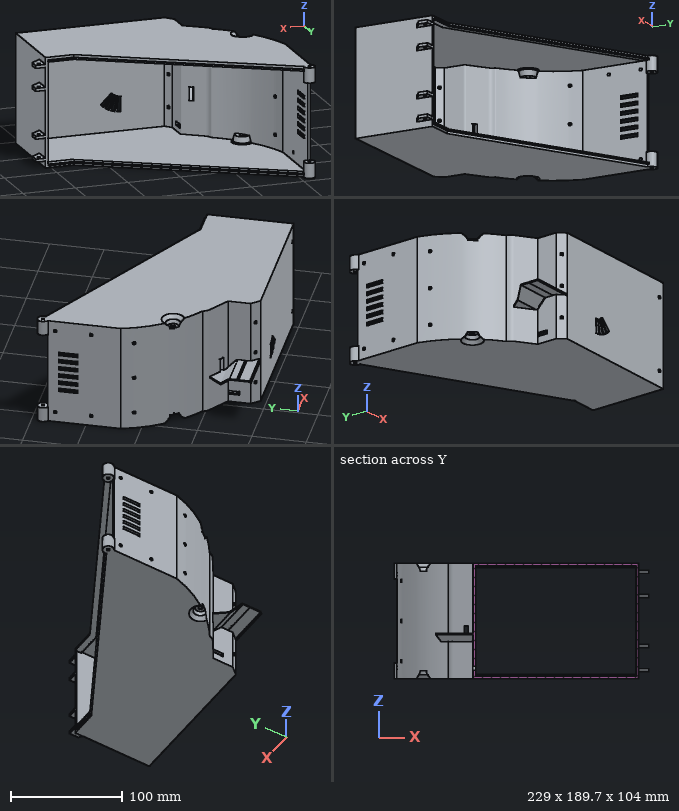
import cadquery as cq
import math

HEIGHT = 104.0
WALL = 2.5
MID_Z = HEIGHT / 2
WIDTH = 217.1
RIGHT_DEPTH = 79.6
BACK_CORNER_X = 190.3
BACK_SLOPE = 29.5

CURVE_START = (0.0, 112.5)
CURVE_MID = (17.7, 75.3)
CURVE_END = (46.0, 47.2)
ROLL_MID = (47.3, 44.1)
ROLL_END = (49.7, 41.5)
NICHE_X = 68.3
NICHE_Y = 28.5
CORNER_CHAMFER = 7.8
CORNER_X = NICHE_X + 6.7

KNUCKLE_RADIUS = 5.2
KNUCKLE_CENTRE = (2.6, 184.46)
KNUCKLE_LENGTH = 14.4
KNUCKLE_FOOT = ((0.0, 178.9), (-1.5, 181.3))
KNUCKLE_GAP_Y = 179.8
PIVOT_HOLE = 2.6
TAB_REACH = 9.28
TAB_THICKNESS = 2.8
TAB_BOTTOMS = (6.5, 28.1)
TAB_EDGE = 9.4
TAB_NOSE = (6.4, 11.3)
TAB_ROOT = 16.3
TAB_HOLE_INSET = 4.8

LIP_REACH = 1.7
LIP_THICKNESS = 1.5
LIP_ROOT = 5.0
LIP_START_X = 7.0

RECESS_CENTRE = (26.0, 70.0)
RECESS_PROFILE = ((10.4, 0.0), (6.7, 3.6), (5.1, 7.2))
RECESS_WALL = 2.0
RECESS_HOLE = 4.4
RECESS_HOLE_DEPTH = 1.2

SCREW_HOLE = 2.7
FRONT_SCREW_X = 211.5
FRONT_SCREW_OFFSET = 36.0
CORNER_SCREW_PITCH = 31.0
CURVE_SCREW_Y = 101.0
CURVE_SCREW_PITCH = 36.0
LEFT_SCREW_YS = (139.7, 172.7)
LEFT_SCREW_OFFSET = 42.0
BLIND_DEPTH = 2.0
THROUGH_DEPTH = 2 * WALL

VENT_COUNT = 6
VENT_PITCH = 7.44
VENT_HEIGHT = 3.0
VENT_YS = (152.1, 169.7)

FAN_COUNT = 4
FAN_PIVOT = (118.3, 45.7)
FAN_RADII = (10.8, 25.0)
FAN_WIDTHS = (2.4, 3.6)
FAN_FIRST_ANGLE = 2.6
FAN_STEP = 13.6

SHELF_X = 32.9
SHELF_SIDE_Y = 20.8
SHELF_RIGHT_X = 74.2
SHELF_TOP = 44.4
SHELF_DROP = 9.8
SHELF_RUN = 9.2
SHELF_THICKNESS = 1.1
SHELF_LOW_Y = 29.6
SHELF_BACK_Y = 42.0
SHELF_BEVEL = 1.0
SHELF_BEVEL_HEIGHT = 2.4
LOW_BEND_RADIUS = 2.2
HIGH_BEND_RADIUS = 3.1
GROOVE_YS = (11.2, 13.0)
GROOVE_DEPTH = 0.5
TALL_SLOT_XS = (60.5, 64.0)
TALL_SLOT_START_Y = 31.0
TALL_SLOT_TOP = 47.5
LOW_SLOT_START_Y = 18.2
LOW_SLOT_ZS = (7.8, 11.2)


def box(xs, ys, zs):
    """Axis-aligned box between pairs of coordinates."""
    return (
        cq.Workplane("XY", origin=(xs[0], ys[0], zs[0]))
        .box(xs[1] - xs[0], ys[1] - ys[0], zs[1] - zs[0], centered=False)
    )


def drill(point, direction, depth):
    """Horizontal screw hole reaching a depth to either side of a point of a wall."""
    plane = cq.Plane(origin=point, xDir=(0, 0, 1), normal=direction)
    return cq.Workplane(plane).circle(SCREW_HOLE / 2).extrude(depth, both=True)


def slope_y(x):
    """Y of the sloped back edge at a given X."""
    return RIGHT_DEPTH + (BACK_CORNER_X - x) * math.tan(math.radians(BACK_SLOPE))


def make_outline():
    return (
        cq.Workplane("XY")
        .moveTo(0, slope_y(0))
        .lineTo(*CURVE_START)
        .threePointArc(CURVE_MID, CURVE_END)
        .threePointArc(ROLL_MID, ROLL_END)
        .lineTo(NICHE_X, NICHE_Y)
        .lineTo(NICHE_X, CORNER_CHAMFER)
        .lineTo(CORNER_X, 0)
        .lineTo(WIDTH, 0)
        .lineTo(WIDTH, RIGHT_DEPTH)
        .lineTo(BACK_CORNER_X, RIGHT_DEPTH)
        .close()
        .extrude(HEIGHT)
    )


def make_cavity():
    """Inside of the housing, running out through the open back."""
    inner = (
        cq.Workplane("XY")
        .add(make_outline().faces("<Z").wires().vals())
        .toPending()
        .offset2D(-WALL)
        .extrude(HEIGHT - 2 * WALL)
        .translate((0, 0, WALL))
    )
    half_open = 2 * WALL
    opening = (
        cq.Workplane("XY", origin=(0, 0, WALL))
        .polyline([
            (WALL, slope_y(WALL) - half_open),
            (BACK_CORNER_X, RIGHT_DEPTH - half_open),
            (WIDTH - WALL, RIGHT_DEPTH - half_open),
            (WIDTH - WALL, RIGHT_DEPTH + half_open),
            (BACK_CORNER_X, RIGHT_DEPTH + half_open),
            (WALL, slope_y(WALL) + half_open),
        ])
        .close()
        .extrude(HEIGHT - 2 * WALL)
    )
    return inner.union(opening)


def make_lip(bottom):
    """Strip along the open back, standing out past the edge."""
    return (
        cq.Workplane("XY", origin=(0, 0, bottom))
        .polyline([
            (LIP_START_X, slope_y(LIP_START_X) - LIP_ROOT),
            (BACK_CORNER_X, RIGHT_DEPTH - LIP_ROOT),
            (WIDTH - WALL, RIGHT_DEPTH - LIP_ROOT),
            (WIDTH - WALL, RIGHT_DEPTH + LIP_REACH),
            (BACK_CORNER_X, RIGHT_DEPTH + LIP_REACH),
            (LIP_START_X, slope_y(LIP_START_X) + LIP_REACH),
        ])
        .close()
        .extrude(LIP_THICKNESS)
    )


def make_tab(bottom):
    nose_x, nose_drop = TAB_NOSE
    return (
        cq.Workplane("XY", origin=(WIDTH, RIGHT_DEPTH, bottom))
        .polyline([
            (-WALL, 0),
            (TAB_REACH, 0),
            (TAB_REACH, -TAB_EDGE),
            (nose_x, -nose_drop),
            (0, -TAB_ROOT),
            (-WALL, -TAB_ROOT),
        ])
        .close()
        .moveTo(TAB_HOLE_INSET, -TAB_HOLE_INSET)
        .circle(PIVOT_HOLE / 2)
        .extrude(TAB_THICKNESS)
    )


def recess_solid(grow):
    """Cup hanging from the roof, enlarged by a wall allowance."""
    depth = RECESS_PROFILE[-1][1] + grow
    rim = [(RECESS_PROFILE[0][0] + grow, 0)]
    middle = [(RECESS_PROFILE[1][0] + grow, -RECESS_PROFILE[1][1])]
    base = [(RECESS_PROFILE[2][0] + grow, -depth), (0, -depth)]
    return (
        cq.Workplane("XZ")
        .polyline([(0, 0)] + rim + middle + base)
        .close()
        .revolve(360, (0, 0), (0, 1))
        .translate((*RECESS_CENTRE, HEIGHT))
    )


def add_recess_pair(body, outline):
    cup = recess_solid(RECESS_WALL).intersect(outline)
    hole_length = RECESS_PROFILE[-1][1] + RECESS_HOLE_DEPTH
    hollow = recess_solid(0).union(
        cq.Workplane("XY", origin=(*RECESS_CENTRE, HEIGHT))
        .circle(RECESS_HOLE / 2)
        .extrude(-hole_length)
    )
    middle = (0, 0, MID_Z)
    cups = cup.union(cup.mirror("XY", middle))
    hollows = hollow.union(hollow.mirror("XY", middle))
    return body.union(cups).cut(hollows)


def add_knuckles(body):
    gap_zs = (KNUCKLE_LENGTH, HEIGHT - KNUCKLE_LENGTH)
    gap = box((-KNUCKLE_RADIUS, 2 * KNUCKLE_RADIUS), (KNUCKLE_GAP_Y, slope_y(0) + WALL), gap_zs)
    body = body.cut(gap)
    for bottom in (0, HEIGHT - KNUCKLE_LENGTH):
        plane = cq.Workplane("XY", origin=(*KNUCKLE_CENTRE, bottom))
        body = body.union(plane.circle(KNUCKLE_RADIUS).extrude(KNUCKLE_LENGTH))
        foot = (
            cq.Workplane("XY", origin=(0, 0, bottom))
            .polyline([*KNUCKLE_FOOT, KNUCKLE_CENTRE])
            .close()
            .extrude(KNUCKLE_LENGTH)
        )
        body = body.union(foot)
    pin = cq.Workplane("XY", origin=(*KNUCKLE_CENTRE, 0)).circle(PIVOT_HOLE / 2).extrude(HEIGHT)
    return body.cut(pin)


def curve_point_and_normal(y):
    """Point and radial direction on the curved wall at a given Y."""
    edge = cq.Edge.makeThreePointArc(
        cq.Vector(*CURVE_START), cq.Vector(*CURVE_MID), cq.Vector(*CURVE_END)
    )
    centre = edge.arcCenter()
    x = centre.x - math.sqrt(edge.radius() ** 2 - (y - centre.y) ** 2)
    return x, (x - centre.x, y - centre.y, 0)


def cut_screw_holes(body):
    corner = ((NICHE_X + CORNER_X) / 2, CORNER_CHAMFER / 2)
    corner_normal = (-CORNER_CHAMFER, NICHE_X - CORNER_X, 0)
    curve_x, curve_normal = curve_point_and_normal(CURVE_SCREW_Y)
    for step in (-1, 0, 1):
        corner_z = MID_Z + step * CORNER_SCREW_PITCH
        curve_z = MID_Z + step * CURVE_SCREW_PITCH
        body = body.cut(drill((*corner, corner_z), corner_normal, THROUGH_DEPTH))
        body = body.cut(drill((curve_x, CURVE_SCREW_Y, curve_z), curve_normal, THROUGH_DEPTH))
    for side in (-1, 1):
        front_z = MID_Z + side * FRONT_SCREW_OFFSET
        body = body.cut(drill((FRONT_SCREW_X, 0, front_z), (0, 1, 0), BLIND_DEPTH))
        for y in LEFT_SCREW_YS:
            left_z = MID_Z + side * LEFT_SCREW_OFFSET
            body = body.cut(drill((0, y, left_z), (1, 0, 0), BLIND_DEPTH))
    return body


def cut_side_vents(body):
    for i in range(VENT_COUNT):
        z = MID_Z + (i - (VENT_COUNT - 1) / 2) * VENT_PITCH
        body = body.cut(box((-WALL, 2 * WALL), VENT_YS, (z - VENT_HEIGHT / 2, z + VENT_HEIGHT / 2)))
    return body


def cut_fan_vents(body):
    """Tapered slots fanned about a pivot on the front wall."""
    inner, outer = FAN_RADII
    inner_half, outer_half = (width / 2 for width in FAN_WIDTHS)
    pivot_x, pivot_z = FAN_PIVOT
    slot = (
        cq.Workplane("XZ", origin=(pivot_x, 0, pivot_z))
        .polyline([
            (-inner_half, -inner),
            (inner_half, -inner),
            (outer_half, -outer),
            (-outer_half, -outer),
        ])
        .close()
        .extrude(2 * WALL, both=True)
    )
    for i in range(FAN_COUNT):
        angle = FAN_FIRST_ANGLE + i * FAN_STEP
        turned = slot.rotate((pivot_x, 0, pivot_z), (pivot_x, 1, pivot_z), -angle)
        body = body.cut(turned)
    return body


def make_shelf(cavity):
    """Bent sheet in the niche: low at the back, a slope, high at the front."""
    low_top = SHELF_TOP - SHELF_DROP
    high_y = SHELF_LOW_Y - SHELF_RUN
    bend_shift = SHELF_THICKNESS * math.tan(math.atan2(SHELF_DROP, SHELF_RUN) / 2)
    profile = (
        cq.Workplane("YZ", origin=(SHELF_X, 0, 0))
        .polyline([
            (SHELF_BEVEL, SHELF_TOP),
            (high_y, SHELF_TOP),
            (SHELF_LOW_Y, low_top),
            (SHELF_BACK_Y, low_top),
            (SHELF_BACK_Y, low_top - SHELF_THICKNESS),
            (SHELF_LOW_Y - bend_shift, low_top - SHELF_THICKNESS),
            (high_y - bend_shift, SHELF_TOP - SHELF_THICKNESS),
            (SHELF_BEVEL, SHELF_TOP - SHELF_THICKNESS),
            (0, SHELF_TOP - SHELF_BEVEL_HEIGHT),
        ])
        .close()
        .extrude(SHELF_RIGHT_X - SHELF_X)
    )
    sheet = round_bend(profile, high_y, SHELF_TOP, HIGH_BEND_RADIUS)
    sheet = round_bend(sheet, SHELF_LOW_Y, low_top, LOW_BEND_RADIUS)
    plan = (
        cq.Workplane("XY")
        .polyline([
            (SHELF_X, 0),
            (SHELF_RIGHT_X, 0),
            (SHELF_RIGHT_X, SHELF_BACK_Y),
            ROLL_END,
            (SHELF_X, SHELF_SIDE_Y),
        ])
        .close()
        .extrude(HEIGHT)
    )
    groove = (
        cq.Workplane("YZ", origin=(SHELF_X, 0, 0))
        .polyline([
            (GROOVE_YS[0], SHELF_TOP),
            (sum(GROOVE_YS) / 2, SHELF_TOP - GROOVE_DEPTH),
            (GROOVE_YS[1], SHELF_TOP),
        ])
        .close()
        .extrude(NICHE_X - SHELF_X)
    )
    return sheet.intersect(plan).cut(groove).cut(cavity)


def round_bend(sheet, y, z, radius):
    """Round the bend edge of the sheet's top surface at (y, z)."""
    middle_x = (SHELF_X + SHELF_RIGHT_X) / 2
    return sheet.edges(cq.selectors.NearestToPointSelector((middle_x, y, z))).fillet(radius)


def cut_shelf_slots(body):
    low_top = SHELF_TOP - SHELF_DROP
    tall = box(TALL_SLOT_XS, (TALL_SLOT_START_Y, SHELF_BACK_Y), (low_top, TALL_SLOT_TOP))
    low = box((NICHE_X - WALL, NICHE_X + WALL), (LOW_SLOT_START_Y, NICHE_Y), LOW_SLOT_ZS)
    return body.cut(tall).cut(low)


outline = make_outline()
cavity = make_cavity()

body = outline.cut(cavity)
for lip_bottom in (WALL, HEIGHT - WALL - LIP_THICKNESS):
    body = body.union(make_lip(lip_bottom))
body = add_knuckles(body)
for tab_bottom in TAB_BOTTOMS:
    body = body.union(make_tab(tab_bottom))
    body = body.union(make_tab(HEIGHT - TAB_THICKNESS - tab_bottom))
body = add_recess_pair(body, outline)
body = body.union(make_shelf(cavity))
body = cut_screw_holes(body)
body = cut_side_vents(body)
body = cut_fan_vents(body)
result = cut_shelf_slots(body)